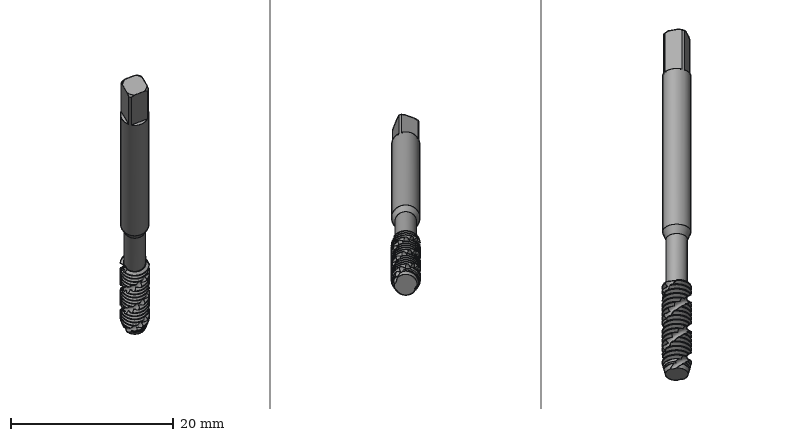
import cadquery as cq
import math

total_length = 50.0

head_length = 13.0
thread_pitch = 0.65
crest_radius = 1.8
thread_root_radius = 1.4
crest_width = 0.15
top_crest_height = 12.75
tip_radius = 1.4
lead_in_length = 1.6
flute_count = 2
flute_lead = 8.6
flute_floor_radius = 1.25
flute_radius = 0.9
flute_start_angle = 90.0

shank_diameter = 3.5
shank_radius = shank_diameter / 2
neck_diameter = 2.65
neck_radius = neck_diameter / 2
neck_top = 19.9
shank_bottom = 21.0
square_width = 2.7
square_length = 6.0
square_chamfer = 0.25


def revolve_about_z(outline):
    """Turn a closed (radius, height) outline about the Z axis."""
    return cq.Workplane("XZ").polyline(outline).close().revolve(360, (0, 0), (0, 1))


def make_shank():
    """Neck, cone and round shank, ending in a driving square with chamfered corners."""
    shank = revolve_about_z([
        (0, head_length),
        (neck_radius, head_length),
        (neck_radius, neck_top),
        (shank_radius, shank_bottom),
        (shank_radius, total_length - square_chamfer),
        (shank_radius - square_chamfer, total_length),
        (0, total_length),
    ])
    square_surround = (
        cq.Workplane("XY", origin=(0, 0, total_length - square_length))
        .circle(shank_diameter)
        .rect(square_width, square_width)
        .extrude(square_length)
    )
    return shank.cut(square_surround).solids()


def make_thread_blank():
    """Head with a row of ring-shaped V threads, narrowed by a cone at the tip."""
    crest_count = math.ceil(top_crest_height / thread_pitch)
    lowest_crest = top_crest_height - (crest_count - 1) * thread_pitch
    outline = [(0, 0), (thread_root_radius, 0)]
    for index in range(crest_count):
        crest = lowest_crest + index * thread_pitch
        root_above = min(crest + thread_pitch / 2, head_length)
        outline.append((crest_radius, crest - crest_width / 2))
        outline.append((crest_radius, crest + crest_width / 2))
        outline.append((thread_root_radius, root_above))
    outline.append((0, head_length))
    envelope = revolve_about_z([
        (0, 0),
        (tip_radius, 0),
        (crest_radius, lead_in_length),
        (crest_radius, head_length),
        (0, head_length),
    ])
    return revolve_about_z(outline).intersect(envelope)


def make_flute_cutter(start_angle):
    """Twisted round bar that follows one right-handed helical flute over the whole head."""
    return (
        cq.Workplane("XY")
        .pushPoints([(flute_floor_radius + flute_radius, 0)])
        .circle(flute_radius)
        .twistExtrude(head_length, 360 * head_length / flute_lead)
        .rotate((0, 0, 0), (0, 0, 1), start_angle)
    )


def make_head():
    """Threaded head with its helical flutes."""
    head = make_thread_blank()
    for index in range(flute_count):
        head = head.cut(make_flute_cutter(flute_start_angle + index * 360 / flute_count))
    return head.solids()


shank = make_shank()
head = make_head()
result = cq.Compound.makeCompound([shank.val(), head.val()])